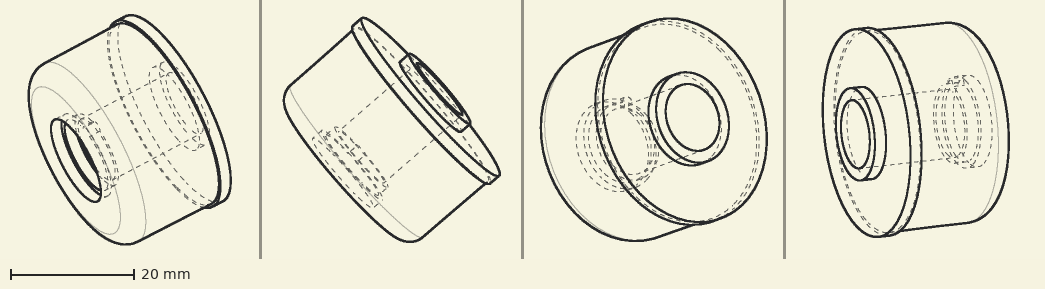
import cadquery as cq
import math

body_length = 17.0
flange_thickness = 2.0
hub_length = 2.0
flange_back = body_length + flange_thickness
overall_length = flange_back + hub_length

flange_radius = 17.0
body_back_radius = 16.5
body_draft_angle = 0.5
hub_radius = 7.55
front_round_radius = 3.0

bore_radius = 5.575
counterbore_radius = 7.5
counterbore_depth = 2.0
inner_step_radius = 6.5
inner_step_depth = 4.0

keyway_radius = 1.0

body_front_radius = body_back_radius - body_length * math.tan(math.radians(body_draft_angle))


def make_outside():
    """Revolve the drafted body, flange and rear hub, then round the front rim."""
    profile = (
        cq.Workplane("XY")
        .moveTo(0, 0)
        .lineTo(body_front_radius, 0)
        .lineTo(body_back_radius, body_length)
        .lineTo(flange_radius, body_length)
        .lineTo(flange_radius, flange_back)
        .lineTo(hub_radius, flange_back)
        .lineTo(hub_radius, overall_length)
        .lineTo(0, overall_length)
        .close()
    )
    outside = profile.revolve(360, (0, 0, 0), (0, 1, 0))
    return outside.faces("<Y").edges().fillet(front_round_radius)


def make_cylinder(radius, depth, center_z=0.0):
    """Cylinder running from the front face along +Y to the given depth."""
    return cq.Workplane("XZ").center(0, center_z).circle(radius).extrude(-depth)


def cut_stepped_bore(part):
    steps = (
        (counterbore_radius, counterbore_depth),
        (inner_step_radius, inner_step_depth),
        (bore_radius, overall_length),
    )
    for radius, depth in steps:
        part = part.cut(make_cylinder(radius, depth))
    return part


def cut_keyway(part):
    """Half-round notch centred on the wall of the inner step, touching the counterbore wall."""
    return part.cut(make_cylinder(keyway_radius, inner_step_depth, inner_step_radius))


result = cut_keyway(cut_stepped_bore(make_outside()))